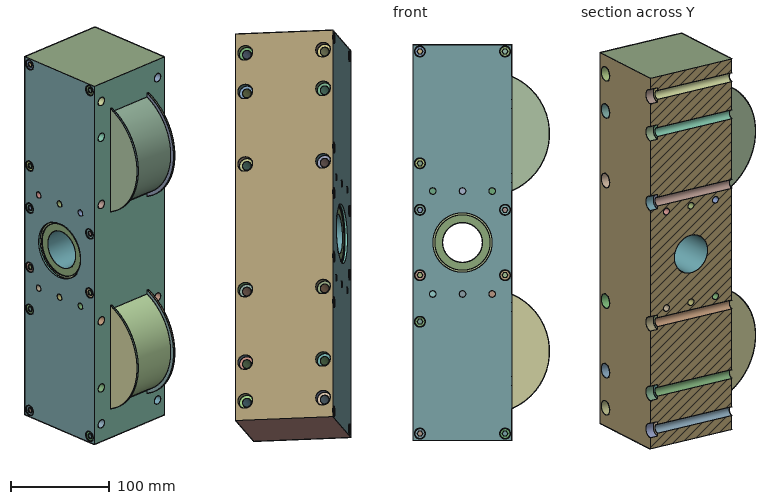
import cadquery as cq
import math

WIDTH = 100.0
DEPTH = 100.0
HEIGHT = 400.0

ROLLER_X = 25.0
ROLLER_Z = 110.0
FLANGE_RADIUS = 63.0
DRUM_RADIUS = 59.0
DRUM_LENGTH = 50.0
FLANGE_THICKNESS = 2.0

BORE_DIAMETER = 40.0
SEAT_DIAMETER = 60.0
SEAT_DEPTH = 2.25
INNER_SEAT_DIAMETER = 56.0
INNER_SEAT_DEPTH = 3.2

COUNTERBORE_DIAMETER = 11.0
COUNTERBORE_DEPTH = 5.0
SCREW_HEAD_DIAMETER = 10.0
SCREW_HEAD_RECESS = 0.5
SOCKET_ACROSS_FLATS = 5.0
SOCKET_SIDES = 6
SOCKET_DEPTH = 1.0
SCREW_X = 43.0
SCREW_HEIGHTS_LEFT = (33.0, 80.0, 193.0)
SCREW_HEIGHTS_RIGHT = (33.0, 193.0)

TAPPED_DIAMETER = 6.65
TAPPED_DEPTH = 20.0
TAPPED_X = (-30.0, 0.0, 30.0)
TAPPED_Z = 52.0

MOUNT_DIAMETER = 9.0
MOUNT_HEAD_DIAMETER = 15.0
MOUNT_HEAD_DEPTH = 9.0
MOUNT_Y = 40.0
MOUNT_HEIGHTS = (65.0, 140.0, 180.0)


def mirrored(values):
    """Return the values together with their negatives."""
    return [sign * value for value in values for sign in (1, -1)]


def cylinder_y(x, z, diameter, start, length):
    """Cylinder along +Y from y = start."""
    return cq.Workplane("XZ", origin=(x, start, z)).circle(diameter / 2).extrude(-length)


def cylinder_x(y, z, diameter, length):
    """Cylinder along +X from the left face of the block."""
    return cq.Workplane("YZ", origin=(-WIDTH / 2, y, z)).circle(diameter / 2).extrude(length)


def front_hole(x, z, diameter, depth):
    """Cutter for a hole drilled into the front (-Y) face."""
    return cylinder_y(x, z, diameter, -DEPTH / 2, depth)


def roller(z):
    """Drum with a wider flange at each end."""
    flange_start = DRUM_LENGTH / 2
    drum = cylinder_y(ROLLER_X, z, 2 * DRUM_RADIUS, -flange_start, DRUM_LENGTH)
    for start in (-flange_start - FLANGE_THICKNESS, flange_start):
        drum = drum.union(cylinder_y(ROLLER_X, z, 2 * FLANGE_RADIUS, start, FLANGE_THICKNESS))
    return drum


def central_bore():
    """Cutter for the through bore and its stepped seat."""
    bore = front_hole(0, 0, BORE_DIAMETER, DEPTH)
    inner_seat = front_hole(0, 0, INNER_SEAT_DIAMETER, INNER_SEAT_DEPTH)
    seat = front_hole(0, 0, SEAT_DIAMETER, SEAT_DEPTH)
    return bore.union(inner_seat).union(seat)


def screw_recess(x, z):
    """Cutter for a counterbore that leaves a socket-head screw standing in it."""
    head_start = -DEPTH / 2 + SCREW_HEAD_RECESS
    counterbore = front_hole(x, z, COUNTERBORE_DIAMETER, COUNTERBORE_DEPTH)
    head_height = COUNTERBORE_DEPTH - SCREW_HEAD_RECESS
    head = cylinder_y(x, z, SCREW_HEAD_DIAMETER, head_start, head_height)
    socket_corners = SOCKET_ACROSS_FLATS / math.cos(math.pi / SOCKET_SIDES)
    socket_plane = cq.Workplane("XZ", origin=(x, head_start, z))
    socket = socket_plane.polygon(SOCKET_SIDES, socket_corners).extrude(-SOCKET_DEPTH)
    return counterbore.cut(head.cut(socket))


def mount_hole(y, z):
    """Cutter for a counterbored through hole entering at the left face."""
    shank = cylinder_x(y, z, MOUNT_DIAMETER, WIDTH)
    return shank.union(cylinder_x(y, z, MOUNT_HEAD_DIAMETER, MOUNT_HEAD_DEPTH))


result = cq.Workplane("XY").box(WIDTH, DEPTH, HEIGHT)

for roller_z in mirrored([ROLLER_Z]):
    result = result.union(roller(roller_z))

result = result.cut(central_bore())

for screw_z in mirrored(SCREW_HEIGHTS_LEFT):
    result = result.cut(screw_recess(-SCREW_X, screw_z))
for screw_z in mirrored(SCREW_HEIGHTS_RIGHT):
    result = result.cut(screw_recess(SCREW_X, screw_z))

for tapped_x in TAPPED_X:
    for tapped_z in mirrored([TAPPED_Z]):
        result = result.cut(front_hole(tapped_x, tapped_z, TAPPED_DIAMETER, TAPPED_DEPTH))

for mount_y in mirrored([MOUNT_Y]):
    for mount_z in mirrored(MOUNT_HEIGHTS):
        result = result.cut(mount_hole(mount_y, mount_z))